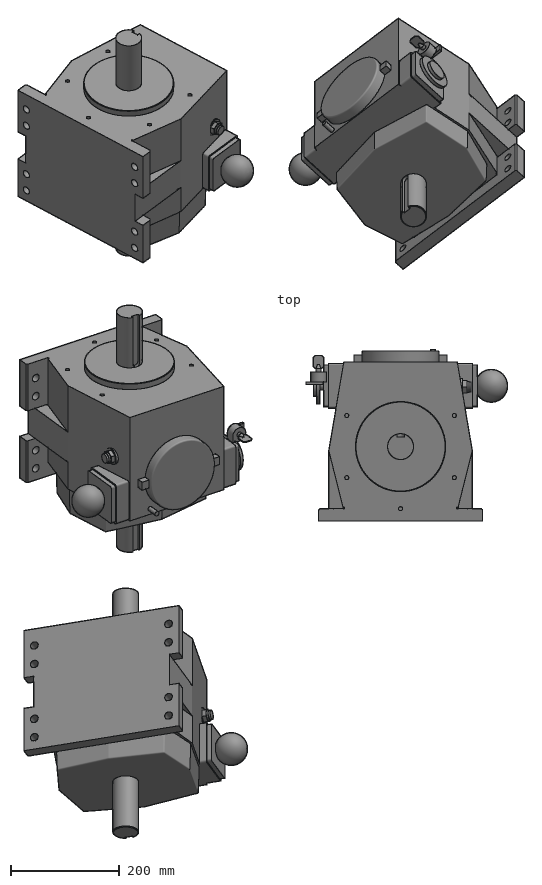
import cadquery as cq


shaft_length = 495.5
shaft_radius = 24.0
shaft_chamfer = 1.5
keyway_width = 14.0
keyway_floor_y = 17.5

body_top_z = 130.0
body_bottom_z = -88.0
body_front_y = 155.5
body_front_half_width = 104.0
body_half_width = 131.7
body_corner_y = -7.0
body_back_half_width = 105.5
relief_y = -111.5
relief_depth = 2.5
base_half_width = 150.5
base_bottom_z = -120.0
base_top_y = -114.0
base_back_y = -136.5
base_edge_chamfer = 2.5
notch_half_height = 31.5
base_hole_x = 130.5
base_hole_zs = (-95.0, -57.0, 57.0, 95.0)
base_hole_diameter = 15.0

flange_z = 142.0
flange_radius = 82.5
flange_chamfer = 1.0
screw_circle_radius = 114.0
screw_hole_diameter = 7.5
screw_hole_depth = 15.0
screw_hole_angles = (30, 150, 210, 270, 330)
end_cover_corner_x = 128.5
end_cover_front_corner = (112.5, 87.5)
end_cover_front_y = 107.0
end_cover_back_corner = (105.0, -85.0)
end_cover_back_y = -96.5
end_cover_draft = 1.2
end_cover_edge_radius = 2.5
end_cover_corner_radius = 2.5

box_size = 82.5
box_center_y = 111.5
box_center_z = body_bottom_z + box_size / 2
box_face_x = 132.0
lid_size = 77.5
lid_face_x = 141.0
box_corner_radius = 4.0

cover_center_z = -15.0
cover_radius = 71.0
cover_face_y = 176.0
cover_edge_radius = 3.0
lug_half_width = 85.5
lug_face_y = 168.5
lug_height = 17.0
lug_center_z = cover_center_z
pin_x = 59.5
pin_z = -76.5
pin_radius = 4.5
pin_end_y = 178.5

plug_y = 109.5
plug_z = 29.5
plug_root_x = 99.0
plug_washer_step = (16.0, 114.0)
plug_hexagon_corners = 26.3
plug_hexagon_end_x = 122.0
plug_end_steps = ((10.0, 125.5), (9.0, 129.5))

ball_radius = 30.0
ball_center_x = 166.5

button_steps = ((8.0, 148.0), (33.5, 154.0), (19.5, 160.0))

lock_x = -150.5
lock_z = 5.0
lock_radius = 14.5
lock_back_y = 119.0
lock_front_y = 137.0
cam_back_y = 114.0
cam_end_x = -174.0
cam_half_height = 8.0
neck_radius = 5.0
neck_end_y = 143.0
tip_radius = 2.0
tip_y = 150.5
key_thickness = 2.0
key_half_width = 10.0
key_corner = 4.0
key_end_y = 167.5


def block(x_range, y_range, z_range):
    """Box between the given limits along each axis."""
    lows, highs = zip(x_range, y_range, z_range)
    size = [high - low for low, high in zip(lows, highs)]
    return cq.Workplane("XY").box(*size, centered=False).translate(lows)


def x_cylinder(radius, x_start, x_end, y, z):
    """Cylinder along X, in either direction from x_start to x_end."""
    plane = cq.Workplane("YZ", origin=(x_start, y, z))
    return plane.circle(radius).extrude(x_end - x_start)


def y_cylinder(radius, y_start, y_end, x, z):
    """Cylinder along +Y from y_start to y_end."""
    plane = cq.Workplane("XZ", origin=(x, y_start, z))
    return plane.circle(radius).extrude(y_start - y_end)


def mirrored_outline(half_outline, z):
    """Closed outline on a level plane from its +X half, listed from +Y to -Y."""
    other_half = [(-x, y) for x, y in reversed(half_outline) if x > 0]
    return cq.Workplane("XY", origin=(0, 0, z)).polyline(half_outline + other_half).close()


def make_shell():
    half_outline = [
        (body_front_half_width, body_front_y),
        (body_half_width, body_corner_y),
        (body_back_half_width, relief_y),
        (body_back_half_width, base_top_y),
    ]
    shell = mirrored_outline(half_outline, body_bottom_z).extrude(body_top_z - body_bottom_z)
    web = block(
        (-body_half_width, body_half_width),
        (base_top_y, body_corner_y),
        (-notch_half_height, notch_half_height),
    )
    shell = shell.union(web)
    for side in (-1, 1):
        relief_x = sorted((side * body_back_half_width, side * (body_back_half_width - relief_depth)))
        shell = shell.cut(block(relief_x, (base_top_y, relief_y), (body_bottom_z, body_top_z)))
    return shell


def make_base():
    base = block(
        (-base_half_width, base_half_width),
        (base_back_y, base_top_y),
        (base_bottom_z, body_top_z),
    )
    base = base.faces("<X or >X").edges(">Y").chamfer(base_edge_chamfer)
    for side in (-1, 1):
        notch_x = sorted((side * body_half_width, side * base_half_width))
        notch = block(notch_x, (base_back_y, base_top_y), (-notch_half_height, notch_half_height))
        base = base.cut(notch)
        for z in base_hole_zs:
            hole = y_cylinder(base_hole_diameter / 2, base_back_y, base_top_y, side * base_hole_x, z)
            base = base.cut(hole)
    return base


def make_flange():
    flange = cq.Workplane("XY", origin=(0, 0, body_top_z)).circle(flange_radius)
    flange = flange.extrude(flange_z - body_top_z)
    return flange.faces(">Z").edges().chamfer(flange_chamfer)


def make_end_cover():
    half_outline = [
        (0, end_cover_front_y),
        end_cover_front_corner,
        (end_cover_corner_x, body_corner_y),
        end_cover_back_corner,
        (0, end_cover_back_y),
    ]
    height = flange_z + body_bottom_z
    cover = mirrored_outline(half_outline, body_bottom_z).extrude(-height, taper=end_cover_draft)
    front_corner_x = end_cover_front_corner[0]
    slanted_edges = cover.edges("not #Z")
    corners = slanted_edges.filter(
        lambda edge: end_cover_corner_radius < abs(edge.Center().x) < front_corner_x
    )
    cover = corners.fillet(end_cover_corner_radius)
    return cover.faces("<Z").edges().fillet(end_cover_edge_radius)


def make_side_box(side):
    """Box and lid on one flank; side is +1 for +X and -1 for -X."""
    center = (0, box_center_y, box_center_z)
    box = cq.Workplane("YZ", origin=center).rect(box_size, box_size).extrude(side * box_face_x)
    lid = cq.Workplane("YZ", origin=center).rect(lid_size, lid_size).extrude(side * lid_face_x)
    box = box.edges("|X").fillet(box_corner_radius)
    return box.union(lid.edges("|X").fillet(box_corner_radius))


def make_front_cover():
    cover = y_cylinder(cover_radius, body_front_y, cover_face_y, 0, cover_center_z)
    cover = cover.faces(">Y").edges().fillet(cover_edge_radius)
    lugs = block(
        (-lug_half_width, lug_half_width),
        (body_front_y, lug_face_y),
        (lug_center_z - lug_height / 2, lug_center_z + lug_height / 2),
    )
    pin = y_cylinder(pin_radius, body_front_y, pin_end_y, pin_x, pin_z)
    return cover.union(lugs).union(pin)


def stepped_x_turning(steps, x_start, y, z, side=1):
    """Coaxial cylinders along X, each starting where the one before it ends."""
    turning = cq.Workplane("XY")
    start = x_start
    for radius, end in steps:
        turning = turning.union(x_cylinder(radius, side * start, side * end, y, z))
        start = end
    return turning


def make_plug():
    plug = stepped_x_turning([plug_washer_step], plug_root_x, plug_y, plug_z)
    washer_end_x = plug_washer_step[1]
    hexagon = (
        cq.Workplane("YZ", origin=(washer_end_x, plug_y, plug_z))
        .transformed(rotate=(0, 0, 90))
        .polygon(6, plug_hexagon_corners)
        .extrude(plug_hexagon_end_x - washer_end_x)
    )
    cap = stepped_x_turning(plug_end_steps, plug_hexagon_end_x, plug_y, plug_z)
    return plug.union(hexagon).union(cap)


def make_screw_holes():
    holes = cq.Workplane("XY")
    for angle in screw_hole_angles:
        hole = (
            cq.Workplane("XY", origin=(screw_circle_radius, 0, body_top_z))
            .circle(screw_hole_diameter / 2)
            .extrude(-screw_hole_depth)
        )
        holes = holes.union(hole.rotate((0, 0, 0), (0, 0, 1), angle))
    return holes


def make_housing():
    housing = make_shell().union(make_base()).union(make_flange()).union(make_end_cover())
    housing = housing.union(make_side_box(-1)).union(make_side_box(1)).union(make_front_cover())
    housing = housing.union(make_plug())
    bore = cq.Workplane("XY").circle(shaft_radius).extrude(shaft_length / 2, both=True)
    return housing.cut(bore).cut(make_screw_holes())


def make_shaft():
    shaft = cq.Workplane("XY").circle(shaft_radius).extrude(shaft_length / 2, both=True)
    shaft = shaft.faces("<Z").edges().chamfer(shaft_chamfer)
    round_end_z = flange_z + keyway_width / 2
    for side in (-1, 1):
        keyway_z = sorted((side * round_end_z, side * shaft_length / 2))
        keyway = block(
            (-keyway_width / 2, keyway_width / 2), (keyway_floor_y, shaft_radius), keyway_z
        )
        round_end = y_cylinder(keyway_width / 2, keyway_floor_y, shaft_radius, 0, side * round_end_z)
        shaft = shaft.cut(keyway).cut(round_end)
    return shaft


def make_ball_knob():
    """Ball with a small flat where it sits on the +X lid."""
    ball = cq.Workplane("XY").sphere(ball_radius).translate((ball_center_x, box_center_y, box_center_z))
    return ball.cut(make_side_box(1))


def make_button():
    return stepped_x_turning(button_steps, lid_face_x, box_center_y, box_center_z, side=-1)


def make_lock():
    barrel = y_cylinder(lock_radius, lock_back_y, lock_front_y, lock_x, lock_z)
    foot = block(
        (-lid_face_x, lock_x + lock_radius),
        (lock_back_y, lock_front_y),
        (box_center_z + lid_size / 2, lock_z),
    )
    cam = block(
        (cam_end_x, lock_x),
        (cam_back_y, lock_back_y),
        (lock_z - cam_half_height, lock_z + cam_half_height),
    )
    cam = cam.union(y_cylinder(cam_half_height, cam_back_y, lock_back_y, lock_x, lock_z))
    neck = y_cylinder(neck_radius, lock_front_y, neck_end_y, lock_x, lock_z)
    tip = cq.Workplane("XY").add(
        cq.Solid.makeCone(
            neck_radius,
            tip_radius,
            tip_y - neck_end_y,
            pnt=cq.Vector(lock_x, neck_end_y, lock_z),
            dir=cq.Vector(0, 1, 0),
        )
    )
    key = block(
        (lock_x - key_half_width, lock_x + key_half_width),
        (neck_end_y, key_end_y),
        (lock_z - key_thickness / 2, lock_z + key_thickness / 2),
    )
    key = key.edges("|Z").chamfer(key_corner)
    return barrel.union(foot).union(cam).union(neck).union(tip).union(key)


housing = make_housing()
shaft = make_shaft()
ball_knob = make_ball_knob()
button = make_button()
lock = make_lock()

bodies = [housing, shaft, ball_knob, button, lock]
result = cq.Compound.makeCompound([body.solids().val() for body in bodies])